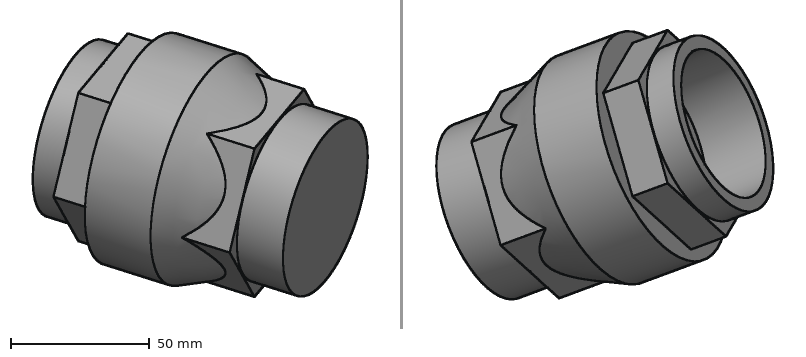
import cadquery as cq
import math

length = 101.5
left_hex_start = 11.4
collar_start = 26.4
collar_end = 53.1
right_hex_end = 82.8

pipe_diameter = 67.0
collar_diameter = 87.5
hex_across_flats = 67.9
hex_across_corners = hex_across_flats / math.cos(math.pi / 6)
taper_length = 22.5

bore_diameter = 56.6
bore_depth = 25.4


def section_plane(x):
    """YZ plane at a station along the axis, facing +X, with the part centred on the origin."""
    return cq.Workplane("YZ", origin=(x - length / 2, 0, 0))


def cylinder(start, end, diameter):
    return section_plane(start).circle(diameter / 2).extrude(end - start)


hexagon = section_plane(left_hex_start).polygon(6, hex_across_corners).extrude(right_hex_end - left_hex_start)

taper = (
    section_plane(collar_end)
    .circle(collar_diameter / 2)
    .workplane(offset=taper_length)
    .circle(hex_across_flats / 2)
    .loft(ruled=True)
)

pipe = cylinder(0, length, pipe_diameter)
collar = cylinder(collar_start, collar_end, collar_diameter)
bore = cylinder(0, bore_depth, bore_diameter)

result = pipe.union(hexagon).union(collar).union(taper).cut(bore)